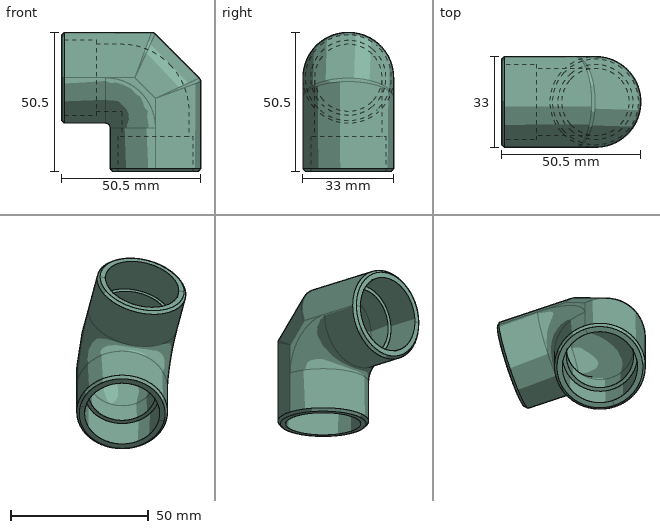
import cadquery as cq
import math

overall = 50.5
outer_diameter = 33.0
bend_radius = 18.2
socket_diameter = 27.2
bore_diameter = 24.4
bore_bend_radius = 12.35
socket_depth = 12.6
chamfer_length = 1.0
chamfer_depth = 0.9
corner_setback = 7.45
ridge_fillet = 1.8

outer_radius = outer_diameter / 2
bore_radius = bore_diameter / 2
socket_radius = socket_diameter / 2
arm_length = overall - outer_radius
straight_length = arm_length - bend_radius
bore_straight_length = arm_length - bore_bend_radius

X_ARM_PLANE = cq.Plane(origin=(-arm_length, 0, 0), xDir=(0, 1, 0), normal=(1, 0, 0))
Z_ARM_PLANE = cq.Plane(origin=(0, 0, -arm_length), xDir=(0, -1, 0), normal=(0, 0, 1))
ARM_PLANES = (X_ARM_PLANE, Z_ARM_PLANE)


def half_round(plane, side):
    """Half disc on an end face: side is 1 for the outer half, -1 for the inner half."""
    return (
        cq.Workplane(plane)
        .moveTo(-outer_radius, 0)
        .threePointArc((0, side * outer_radius), (outer_radius, 0))
        .close()
    )


def bend(section_radius, centre_line_radius):
    """Quarter torus turning from the X arm into the Z arm."""
    return (
        cq.Workplane("YZ", origin=(-centre_line_radius, 0, 0))
        .circle(section_radius)
        .revolve(90, (0, -centre_line_radius, 0), (1, -centre_line_radius, 0))
    )


def mitred_back():
    """Outer half of the elbow: a half-round section mitred twice at 45 degrees."""
    path = (
        cq.Workplane("XZ")
        .moveTo(-arm_length, 0)
        .lineTo(-corner_setback, 0)
        .lineTo(0, -corner_setback)
        .lineTo(0, -arm_length)
    )
    back = half_round(X_ARM_PLANE, 1).sweep(path, transition="right")
    ridges = [edge for edge in back.edges().vals() if edge.geomType() == "ELLIPSE"]
    return back.newObject(ridges).fillet(ridge_fillet)


def flat_web():
    """Flat-sided filling between the inner bend and the mitred back."""
    bend_middle = bend_radius * (math.sqrt(0.5) - 1)
    return (
        cq.Workplane("XZ")
        .moveTo(-bend_radius, 0)
        .lineTo(-corner_setback, 0)
        .lineTo(0, -corner_setback)
        .lineTo(0, -bend_radius)
        .threePointArc((bend_middle, bend_middle), (-bend_radius, 0))
        .close()
        .extrude(outer_radius, both=True)
    )


def end_bevel(plane):
    """Ring that trims the outer rim of an end face to a chamfer."""
    rim = cq.Workplane(plane).rect(overall, overall).extrude(chamfer_length)
    cone = (
        cq.Workplane(plane)
        .circle(outer_radius - chamfer_depth)
        .workplane(offset=chamfer_length)
        .circle(outer_radius)
        .loft()
    )
    return rim.cut(cone)


def inner_front():
    """Inner half of the elbow: straight half-round arms joined by a half-round bend."""
    bend_start = cq.Plane(
        origin=(-bend_radius, 0, 0), xDir=X_ARM_PLANE.xDir, normal=X_ARM_PLANE.zDir
    )
    front = half_round(bend_start, -1).revolve(90, (0, -bend_radius, 0), (1, -bend_radius, 0))
    for plane in ARM_PLANES:
        front = front.union(half_round(plane, -1).extrude(straight_length), clean=False)
    return front


def outer_body():
    """Solid elbow with chamfered end faces."""
    body = mitred_back().union(flat_web(), clean=False).union(inner_front(), clean=False)
    for plane in ARM_PLANES:
        body = body.cut(end_bevel(plane), clean=False)
    return body


def passage():
    """Curved bore through both arms with a wider socket at each end."""
    cavity = bend(bore_radius, bore_bend_radius)
    for plane in ARM_PLANES:
        cavity = cavity.union(cq.Workplane(plane).circle(bore_radius).extrude(bore_straight_length))
        cavity = cavity.union(cq.Workplane(plane).circle(socket_radius).extrude(socket_depth))
    return cavity


result = outer_body().cut(passage(), clean=False)